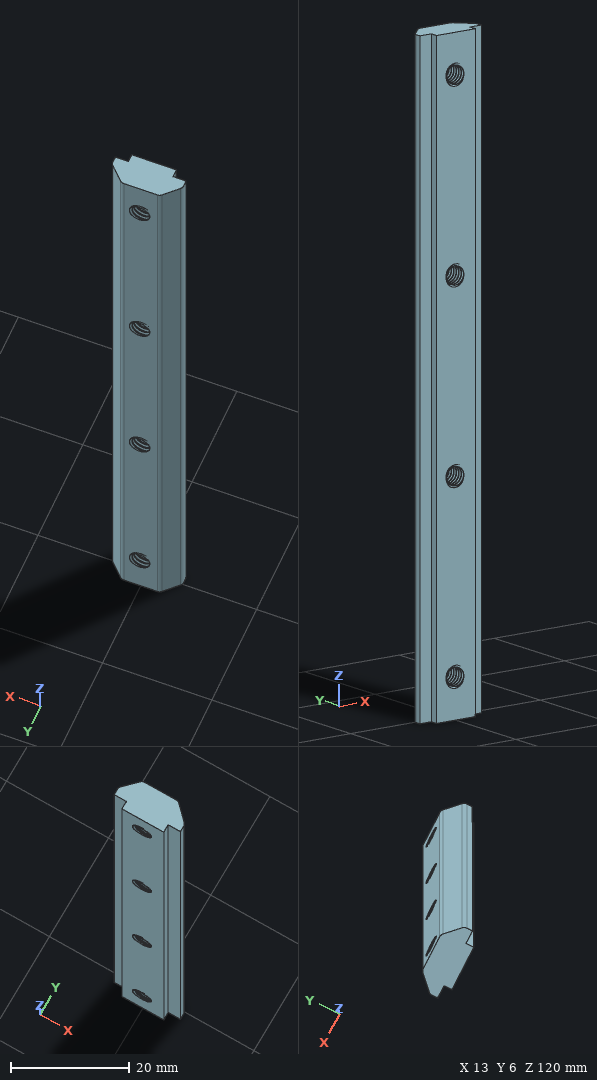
import cadquery as cq
import math

width = 13.0
thickness = 6.0
length = 120.0

neck_width = 8.2
neck_depth = 1.5
back_width = 7.0
bevel_angle = 45.0
bevel_round_radius = 1.0

hole_count = 4
hole_pitch = 35.0
bore_diameter = 3.33
thread_diameter = 4.11
thread_pitch = 0.7
thread_angle = 60.0
root_flat = thread_pitch / 8
thread_start_angle = 262.0
sleeve_diameter = 5.0
cutter_overlap = 0.05

half_width = width / 2
half_thickness = thickness / 2
front_y = -half_thickness
back_y = half_thickness
flange_front_y = front_y + neck_depth
bevel_run = (width - back_width) / 2
bevel_start_y = back_y - bevel_run * math.tan(math.radians(bevel_angle))


def make_bar():
    """Extrude the symmetric T-slot section along Z, centred on the origin."""
    half_section = [
        (0, front_y),
        (neck_width / 2, front_y),
        (neck_width / 2, flange_front_y),
        (half_width, flange_front_y),
        (half_width, bevel_start_y),
        (back_width / 2, back_y),
        (0, back_y),
    ]
    base = cq.Workplane("XY").workplane(offset=-length / 2)
    return base.polyline(half_section).mirrorY().extrude(length)


def round_bevels(bar):
    """Round both long edges of each bevel."""
    for side in (-1, 1):
        for x, y in ((half_width, bevel_start_y), (back_width / 2, back_y)):
            corner = cq.selectors.NearestToPointSelector((side * x, y, 0))
            bar = bar.edges("|Z").edges(corner).fillet(bevel_round_radius)
    return bar


def make_groove_turn():
    """Sweep the groove through one full turn of a helix rising along Z from the origin."""
    bore_radius = bore_diameter / 2
    root_radius = thread_diameter / 2
    inner_radius = bore_radius - cutter_overlap
    root_half = root_flat / 2
    mouth_half = root_half + (root_radius - inner_radius) * math.tan(math.radians(thread_angle / 2))

    helix = cq.Wire.makeHelix(thread_pitch, thread_pitch, bore_radius)
    groove_section = cq.Workplane("XZ").polyline([
        (inner_radius, -mouth_half),
        (root_radius, -root_half),
        (root_radius, root_half),
        (inner_radius, mouth_half),
    ]).close()
    return groove_section.sweep(cq.Workplane(helix), isFrenet=True)


def make_threaded_sleeve():
    """Make a sleeve along Y, as long as the bar is thick, with the thread cut turn by turn."""
    sleeve = (
        cq.Workplane("XY")
        .workplane(offset=-half_thickness)
        .circle(sleeve_diameter / 2)
        .circle(bore_diameter / 2)
        .extrude(thickness)
    )
    groove_turn = make_groove_turn()
    turn_count = math.ceil(thickness / thread_pitch) + 1
    first_turn_z = -turn_count * thread_pitch / 2
    for i in range(turn_count):
        turn = groove_turn.translate((0, 0, first_turn_z + i * thread_pitch))
        sleeve = sleeve.cut(turn, clean=False)
    sleeve = sleeve.rotate((0, 0, 0), (1, 0, 0), 90)
    return sleeve.rotate((0, 0, 0), (0, 1, 0), thread_start_angle)


def add_threaded_holes(bar):
    """Replace a plug of the bar at each hole with the threaded sleeve."""
    plug = cq.Workplane("XZ").circle(sleeve_diameter / 2).extrude(half_thickness, both=True)
    sleeve = make_threaded_sleeve()
    first_z = -hole_pitch * (hole_count - 1) / 2
    for i in range(hole_count):
        centre = (0, 0, first_z + i * hole_pitch)
        bar = bar.cut(plug.translate(centre))
        bar = bar.union(sleeve.translate(centre))
    return bar


result = add_threaded_holes(round_bevels(make_bar()))